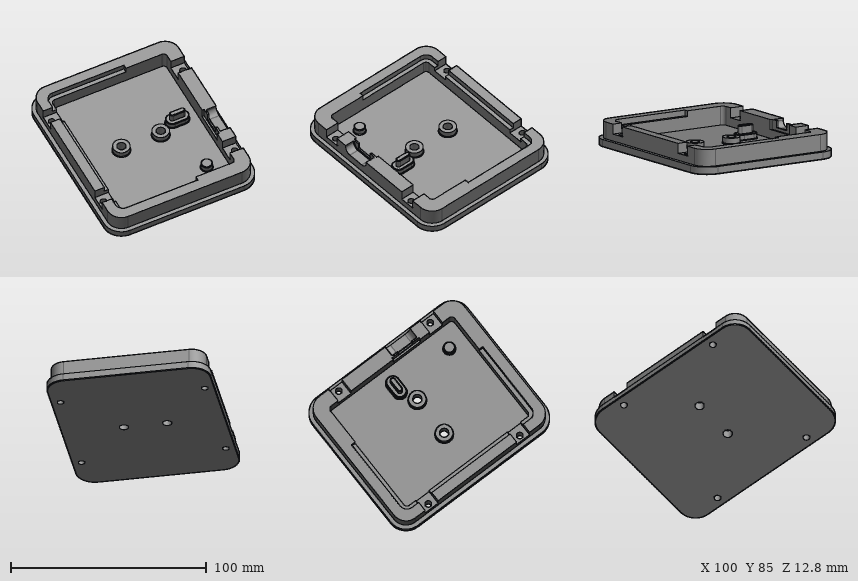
import cadquery as cq

LENGTH = 100.0
WIDTH = 85.0
HEIGHT = 12.8
FLANGE_HEIGHT = 4.0
FLANGE_RADIUS = 10.0
BOTTOM_CHAMFER = 0.4
FLANGE_STEP = 2.2
WALL_LENGTH = LENGTH - 2 * FLANGE_STEP
WALL_WIDTH = WIDTH - 2 * FLANGE_STEP
WALL_RADIUS = FLANGE_RADIUS - FLANGE_STEP

FLOOR_Z = 3.0
CAVITY_LENGTH = 80.0
CAVITY_WIDTH = 65.2
CAVITY_RADIUS = 2.0

LEDGE_STEP = 2.3
LEDGE_DEPTH = 3.0
LEDGE_BACK_Y = 10.1
LEDGE_RADIUS = CAVITY_RADIUS + LEDGE_STEP

NOTCH_WIDTH = 8.4
NOTCH_DEPTH = 5.2
SCREW_HOLE_DIAMETER = 3.4
SCREW_X = 29.5
SCREW_Y = 37.5

CONNECTOR_X = 10.7
OPENING_WIDTH = 9.3
OPENING_DEPTH = 3.7
OPENING_RADIUS = 0.9
PLUG_DEPTH = 4.4
PLUG_RADIUS = 3.3
PLUG_CHAMFER = 0.4
RECESS_WIDTH = 17.3
RECESS_STEP = 1.1
WEB_THICKNESS = 0.9
RECESS_FRONT_Y = CAVITY_WIDTH / 2
WEB_FRONT_Y = RECESS_FRONT_Y + RECESS_STEP
WEB_BACK_Y = WEB_FRONT_Y + WEB_THICKNESS
WALL_BACK_Y = WALL_WIDTH / 2

BOSS_DIAMETER = 9.0
BOSS_HOLE_DIAMETER = 4.7
BOSS_HEIGHT = 3.2
BOSS_YS = (10.0, -12.5)

PIN_DIAMETER = 6.0
PIN_HEIGHT = 3.3
PIN_X = 29.5
PIN_Y = 21.5

PAD_X = -4.5
PAD_Y = 21.7
PAD_SPACING = 5.8
PAD_WIDTH = 7.0
PAD_HEIGHT = 3.1
TAB_THICKNESS = 2.8
TAB_HEIGHT = 7.4
TAB_CHAMFER = 0.4

FOOT_FLARE = 0.4
FOOT_TAPER = 45
POST_CHAMFER = 0.4


def rounded_block(length, width, height, radius, base_z):
    """Block centred on the Z axis with rounded vertical edges."""
    block = cq.Workplane("XY").workplane(offset=base_z).rect(length, width).extrude(height)
    return block.edges("|Z").fillet(radius)


def box_between(x_range, y_range, z_range):
    """Box that spans the given X, Y and Z ranges."""
    sizes = [high - low for low, high in (x_range, y_range, z_range)]
    corner = cq.Vector(x_range[0], y_range[0], z_range[0])
    return cq.Workplane("XY").box(*sizes, centered=False).translate(corner)


def shell():
    """Flange with the raised wall and the main cavity."""
    flange = rounded_block(LENGTH, WIDTH, FLANGE_HEIGHT, FLANGE_RADIUS, 0)
    flange = flange.faces("<Z").edges().chamfer(BOTTOM_CHAMFER)
    wall = rounded_block(WALL_LENGTH, WALL_WIDTH, HEIGHT, WALL_RADIUS, 0)
    wall = wall.intersect(box_between((-LENGTH, LENGTH), (-WIDTH, WIDTH), (FLANGE_HEIGHT / 2, HEIGHT)))
    cavity = rounded_block(CAVITY_LENGTH, CAVITY_WIDTH, HEIGHT, CAVITY_RADIUS, FLOOR_Z)
    return flange.union(wall).cut(cavity)


def ledge_cut():
    """Shallow widening of the cavity, limited to the area in front of LEDGE_BACK_Y."""
    ledge_z = HEIGHT - LEDGE_DEPTH
    widening = rounded_block(
        CAVITY_LENGTH + 2 * LEDGE_STEP, CAVITY_WIDTH + 2 * LEDGE_STEP, HEIGHT, LEDGE_RADIUS, ledge_z
    )
    return widening.intersect(box_between((-LENGTH, LENGTH), (-WIDTH, LEDGE_BACK_Y), (0, 2 * HEIGHT)))


def screw_notches():
    """Two notches across the front and back walls, and a screw hole in each notch floor."""
    notches = (
        cq.Workplane("XY").workplane(offset=HEIGHT - NOTCH_DEPTH)
        .pushPoints([(-SCREW_X, 0), (SCREW_X, 0)])
        .rect(NOTCH_WIDTH, WIDTH).extrude(HEIGHT)
    )
    holes = (
        cq.Workplane("XY").rect(2 * SCREW_X, 2 * SCREW_Y, forConstruction=True)
        .vertices().circle(SCREW_HOLE_DIAMETER / 2).extrude(HEIGHT)
    )
    return notches.union(holes)


def trough(width, depth, radius, front_y, back_y):
    """Open-topped channel along Y with rounded lower corners."""
    channel = box_between(
        (CONNECTOR_X - width / 2, CONNECTOR_X + width / 2),
        (front_y, back_y),
        (HEIGHT - depth, 2 * HEIGHT),
    )
    return channel.edges("|Y and <Z").fillet(radius)


def connector_cut():
    """Inner recess, opening through the thin web, and outer trough for the plug."""
    recess = box_between(
        (CONNECTOR_X - RECESS_WIDTH / 2, CONNECTOR_X + RECESS_WIDTH / 2),
        (0, WEB_FRONT_Y),
        (HEIGHT - NOTCH_DEPTH, 2 * HEIGHT),
    )
    opening = trough(OPENING_WIDTH, OPENING_DEPTH, OPENING_RADIUS, 0, WALL_BACK_Y)
    plug = trough(OPENING_WIDTH + 2 * PLUG_RADIUS, PLUG_DEPTH, PLUG_RADIUS, WEB_BACK_Y, WIDTH)
    plug = plug.faces("<Y").edges().chamfer(PLUG_CHAMFER)
    return recess.union(opening).union(plug)


def flared_post(outline, width, height, top_chamfer=0):
    """Post on the floor with a foot that widens by FOOT_FLARE; outline draws it at a given width."""
    post = outline(width).extrude(height)
    if top_chamfer:
        post = post.faces(">Z").edges().chamfer(top_chamfer)
    foot = outline(width + 2 * FOOT_FLARE).extrude(FOOT_FLARE, taper=FOOT_TAPER)
    return post.union(foot)


def round_outline(x, y):
    """Outline function for a round post centred at x, y."""
    plane = cq.Workplane("XY").workplane(offset=FLOOR_Z).center(x, y)
    return lambda diameter: plane.circle(diameter / 2)


def pad_outline(width):
    """Oblong outline at the pad position, long side along Y."""
    plane = cq.Workplane("XY").workplane(offset=FLOOR_Z).center(PAD_X, PAD_Y)
    return plane.slot2D(PAD_SPACING + width, width, 90)


def floor_posts():
    """Hollow bosses, locating pin, and oblong pad with its tab."""
    posts = flared_post(round_outline(PIN_X, PIN_Y), PIN_DIAMETER, PIN_HEIGHT, POST_CHAMFER)
    posts = posts.union(flared_post(pad_outline, PAD_WIDTH, PAD_HEIGHT, POST_CHAMFER))
    tab = pad_outline(TAB_THICKNESS).extrude(TAB_HEIGHT)
    posts = posts.union(tab.faces(">Z").edges().chamfer(TAB_CHAMFER))
    for y in BOSS_YS:
        posts = posts.union(flared_post(round_outline(0, y), BOSS_DIAMETER, BOSS_HEIGHT))
    return posts


def boss_holes():
    """Holes through the bosses and the floor."""
    centres = [(0, y) for y in BOSS_YS]
    return cq.Workplane("XY").pushPoints(centres).circle(BOSS_HOLE_DIAMETER / 2).extrude(HEIGHT)


result = shell().cut(ledge_cut()).cut(screw_notches()).cut(connector_cut())
result = result.union(floor_posts()).cut(boss_holes())